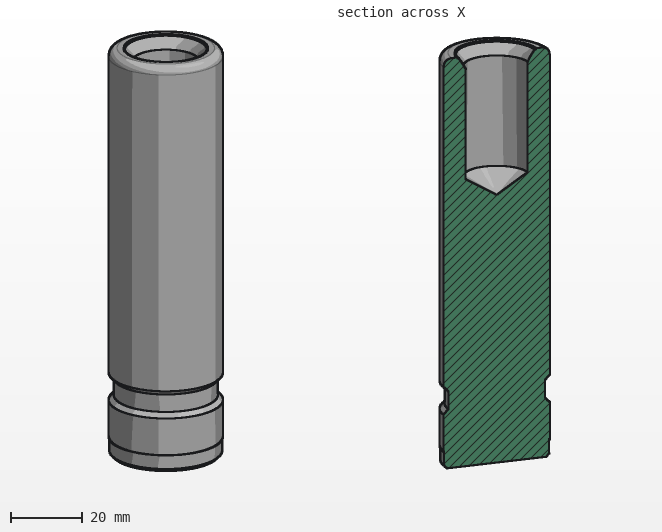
import cadquery as cq
import math

length = 120.0
body_diameter = 32.0
body_radius = body_diameter / 2
top_round = 2.4
foot_radius = 15.8
foot_height = 5.0
foot_chamfer = 1.0

groove_bottom = 16.0
groove_top = 24.0
groove_depth = 1.5

recess_radius = 11.8
recess_depth = 0.4
mouth_radius = 11.4
bore_radius = 9.2
lead_in_bottom_depth = 3.7
lead_in_bulge = 0.18
bore_depth = 36.0
drill_point_angle = 118.0


def make_pillar():
    """Revolve the outer half profile and round the top edge."""
    groove_radius = body_radius - groove_depth
    profile = (
        cq.Workplane("XZ")
        .lineTo(foot_radius - foot_chamfer, 0)
        .lineTo(foot_radius, foot_chamfer)
        .lineTo(foot_radius, foot_height)
        .lineTo(body_radius, foot_height)
        .lineTo(body_radius, groove_bottom)
        .lineTo(groove_radius, groove_bottom + groove_depth)
        .lineTo(groove_radius, groove_top - groove_depth)
        .lineTo(body_radius, groove_top)
        .lineTo(body_radius, length)
        .lineTo(0, length)
        .close()
    )
    pillar = profile.revolve(360, (0, 0, 0), (0, 1, 0))
    return pillar.faces(">Z").edges().fillet(top_round)


def make_bore():
    """Revolve the bore: recess, lead-in curving toward the axis, straight wall and drill point."""
    mouth_z = length - recess_depth
    lead_in_z = length - lead_in_bottom_depth
    bore_floor_z = length - bore_depth
    point_height = bore_radius / math.tan(math.radians(drill_point_angle / 2))
    lead_in_middle = (
        (mouth_radius + bore_radius) / 2 - lead_in_bulge,
        (mouth_z + lead_in_z) / 2,
    )
    profile = (
        cq.Workplane("XZ")
        .moveTo(0, length)
        .lineTo(recess_radius, length)
        .lineTo(recess_radius, mouth_z)
        .lineTo(mouth_radius, mouth_z)
        .threePointArc(lead_in_middle, (bore_radius, lead_in_z))
        .lineTo(bore_radius, bore_floor_z)
        .lineTo(0, bore_floor_z - point_height)
        .close()
    )
    return profile.revolve(360, (0, 0, 0), (0, 1, 0))


result = make_pillar().cut(make_bore())